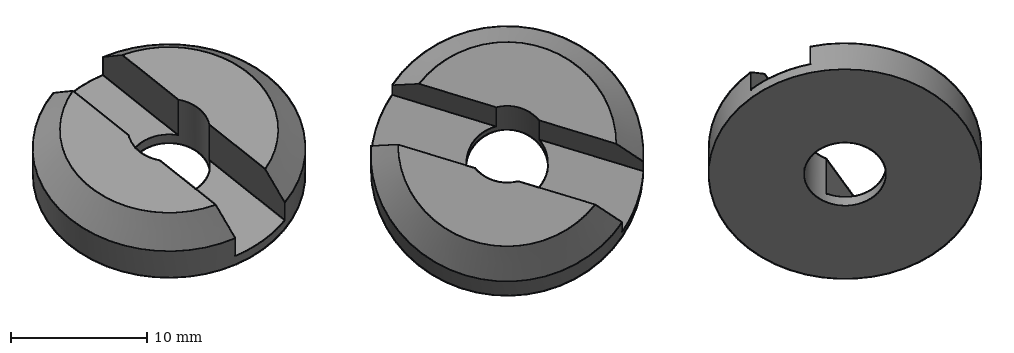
import cadquery as cq

outer_diameter = 20.0
thickness = 5.0
chamfer_size = 2.0
bore_diameter = 6.0
slot_width = 5.0
slot_floor_thickness = 1.0

slot_depth = thickness - slot_floor_thickness


def make_disc():
    """Round disc on the XY plane with a 45 degree chamfer on its top rim."""
    disc = cq.Workplane("XY").circle(outer_diameter / 2).extrude(thickness)
    return disc.faces(">Z").edges().chamfer(chamfer_size)


def make_slot():
    """Cutter for the slot that runs along X across the whole top face."""
    return (
        cq.Workplane("XY")
        .workplane(offset=slot_floor_thickness)
        .rect(outer_diameter, slot_width)
        .extrude(slot_depth)
    )


def make_bore():
    """Cutter for the central through hole."""
    return cq.Workplane("XY").circle(bore_diameter / 2).extrude(thickness)


result = make_disc().cut(make_slot()).cut(make_bore())